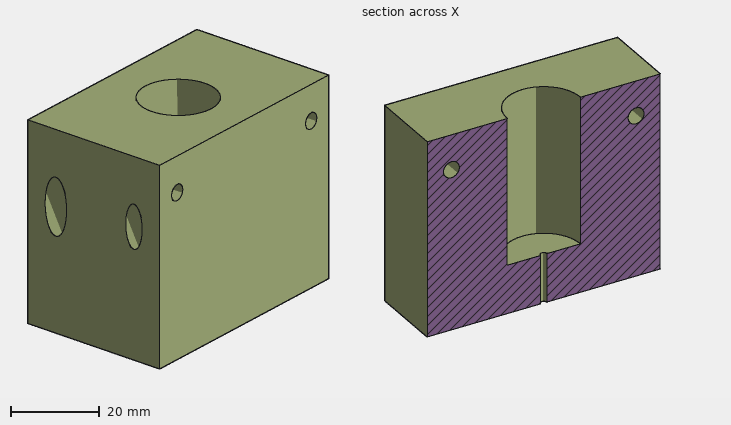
import cadquery as cq
import math

width = 38.1
length = 60.8
height = 50.8

bore_diameter = 19.0
bore_floor = 12.7
drain_diameter = 1.65

cross_diameter = 4.0
cross_end_distance = 6.3
cross_top_distance = 9.1

slope_from_vertical = 25.0
mouth_top_distance = 11.9
sloping_holes = [
    (8.15, 6.2),
    (30.7, 4.75),
]


def sloping_hole(x, diameter):
    """Cylinder whose elliptical mouth on the front face has the common top edge."""
    angle = math.radians(slope_from_vertical)
    mouth_half_height = diameter / 2 / math.sin(angle)
    mouth_centre = cq.Vector(x, 0, height - mouth_top_distance - mouth_half_height)
    inward = cq.Vector(0, math.sin(angle), -math.cos(angle))
    overrun = 2 * mouth_half_height
    cut_length = height / math.cos(angle) + overrun
    return cq.Solid.makeCylinder(diameter / 2, cut_length, mouth_centre - inward * overrun, inward)


result = cq.Workplane("XY").box(width, length, height, centered=False)

centre = cq.Workplane("XY").center(width / 2, length / 2)
bore = centre.workplane(offset=bore_floor).circle(bore_diameter / 2).extrude(height - bore_floor)
drain = centre.circle(drain_diameter / 2).extrude(height)
result = result.cut(bore).cut(drain)

for y in (cross_end_distance, length - cross_end_distance):
    cross_start = cq.Vector(0, y, height - cross_top_distance)
    result = result.cut(cq.Solid.makeCylinder(cross_diameter / 2, width, cross_start, cq.Vector(1, 0, 0)))

for x, diameter in sloping_holes:
    result = result.cut(sloping_hole(x, diameter))